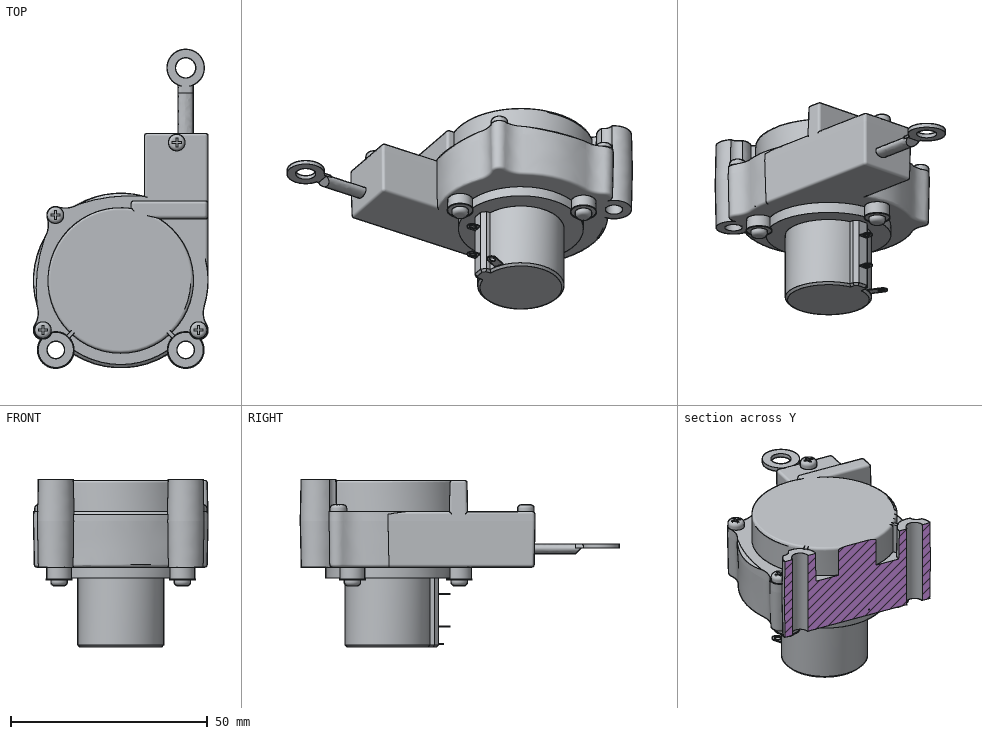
import math

import cadquery as cq

PARTING_Z = 11.7
CASE_TOP_Z = 14.15
DRUM_TOP_Z = 22.1
BOSS_TOP_Z = 22.35
DRAFT = 1.2
EDGE_ROUND = 0.7

CASE_R = 22.22
DRUM_R = 18.5
CORNER_EAR = (-16.6, 16.6, 2.2)
SIDE_EAR_X, SIDE_EAR_Y, SIDE_EAR_R = 19.77, -12.6, 2.45
BLEND_R = 6.0
LIP_INSET = 0.85
LIP_DROP = 0.78

BOSS_X, BOSS_Y, BOSS_R = 16.5, -17.65, 4.7
BOSS_HOLE_D = 4.38
RIB_WIDTH = 1.0

BOX_LEFT_X, BOX_BACK_Y = 6.0, 37.4
ARM_LEFT_X, ARM_FRONT_Y, ARM_BACK_Y = 2.6, 15.55, 20.3

HEAD_D = 4.22
COVER_HEAD_H = 1.75
HEAD_CLEARANCE = 0.2
HEAD_DOME = 0.95
RECESS_LENGTH, RECESS_WIDTH, RECESS_DEPTH = 2.3, 0.5, 0.8
BOX_SCREW = (14.24, 35.05)

FLANGE_R, FLANGE_H = 15.87, 2.74
SENSOR_R, SENSOR_BOTTOM_Z = 10.98, -20.32
SENSOR_ROUND = 0.6
CLAMP_CIRCLE_R = 18.1
CLAMP_ANGLES = (90, 210, 330)
CLAMP_D, CLAMP_H = 6.35, 3.0
WASHER_D, WASHER_H = 6.6, 0.2
CLAMP_HEAD_H, CLAMP_HEAD_DOME = 1.55, 1.0
PAD_WIDTH, PAD_Y, PAD_BEVEL = 5.0, 12.87, 1.1
TERMINAL_W, TERMINAL_T = 2.4, 0.25
TERMINAL_REACH = 15.8
TERMINAL_SLOT_L, TERMINAL_SLOT_W, TERMINAL_SLOT_INSET = 1.93, 1.2, 1.55
TERMINALS = ((90, -6.75), (90, -15.08), (117.9, -19.5))

EYE_X, EYE_Y = BOSS_X, 54.04
EYE_R, EYE_HOLE_D = 4.76, 5.08
EYE_TOP_Z, EYE_T = 5.92, 1.07
EYE_UNDER_Z = EYE_TOP_Z - EYE_T
BARREL_W, BARREL_BOTTOM_Z = 3.9, 3.38
BARREL_END_Y = 47.6
NECK_ROUND = 0.95


def polar(radius, angle):
    return (radius * math.cos(math.radians(angle)), radius * math.sin(math.radians(angle)))


def toward(start, target, distance):
    """Point at a distance from start on the ray to target."""
    span = math.dist(start, target)
    return tuple(s + (t - s) * distance / span for s, t in zip(start, target))


def blend(ear, side):
    """Hollow arc joining the round wall to an ear: wall point, middle point, ear point.

    side is +1 when the hollow lies counterclockwise of the ear, -1 when clockwise.
    """
    ear_centre = ear[:2]
    ear_reach = math.hypot(*ear_centre)
    wall_span = CASE_R + BLEND_R
    ear_span = ear[2] + BLEND_R
    cosine = (wall_span**2 + ear_reach**2 - ear_span**2) / (2 * wall_span * ear_reach)
    angle = math.degrees(math.atan2(ear[1], ear[0])) + side * math.degrees(math.acos(cosine))
    centre = polar(wall_span, angle)
    wall_point = polar(CASE_R, angle)
    ear_point = toward(centre, ear_centre, BLEND_R)
    chord_middle = tuple((a + b) / 2 for a, b in zip(wall_point, ear_point))
    return wall_point, toward(centre, chord_middle, BLEND_R), ear_point


def ear_tip(ear):
    """Point of an ear farthest from the Z axis."""
    return toward((0, 0), ear[:2], math.hypot(*ear[:2]) + ear[2])


def wall_angle(point):
    return math.degrees(math.atan2(point[1], point[0])) % 360


RIGHT_EAR = (SIDE_EAR_X, SIDE_EAR_Y, SIDE_EAR_R)
LEFT_EAR = (-SIDE_EAR_X, SIDE_EAR_Y, SIDE_EAR_R)
RIGHT_BLEND = blend(RIGHT_EAR, 1)
CORNER_BLEND_BACK = blend(CORNER_EAR, -1)
CORNER_BLEND_FRONT = blend(CORNER_EAR, 1)
LEFT_BLEND = blend(LEFT_EAR, -1)


def round_outline(plane):
    """Round wall with its three ears; the side ears run into the boss centres."""
    left_arc_middle = (wall_angle(CORNER_BLEND_FRONT[0]) + wall_angle(LEFT_BLEND[0])) / 2
    back_arc_middle = (wall_angle(RIGHT_BLEND[0]) - 360 + wall_angle(CORNER_BLEND_BACK[0])) / 2
    return (
        plane.moveTo(*RIGHT_BLEND[0])
        .threePointArc(polar(CASE_R, back_arc_middle), CORNER_BLEND_BACK[0])
        .threePointArc(CORNER_BLEND_BACK[1], CORNER_BLEND_BACK[2])
        .threePointArc(ear_tip(CORNER_EAR), CORNER_BLEND_FRONT[2])
        .threePointArc(CORNER_BLEND_FRONT[1], CORNER_BLEND_FRONT[0])
        .threePointArc(polar(CASE_R, left_arc_middle), LEFT_BLEND[0])
        .threePointArc(LEFT_BLEND[1], LEFT_BLEND[2])
        .threePointArc((-SIDE_EAR_X - SIDE_EAR_R, SIDE_EAR_Y), (-SIDE_EAR_X, SIDE_EAR_Y - SIDE_EAR_R))
        .lineTo(-BOSS_X, SIDE_EAR_Y - SIDE_EAR_R)
        .threePointArc((0, -CASE_R), (BOSS_X, SIDE_EAR_Y - SIDE_EAR_R))
        .lineTo(SIDE_EAR_X, SIDE_EAR_Y - SIDE_EAR_R)
        .threePointArc((SIDE_EAR_X + SIDE_EAR_R, SIDE_EAR_Y), RIGHT_BLEND[2])
        .threePointArc(RIGHT_BLEND[1], RIGHT_BLEND[0])
        .close()
    )


def level(height):
    return cq.Workplane("XY").workplane(offset=height)


def rectangle(plane, x_range, y_range):
    width = x_range[1] - x_range[0]
    depth = y_range[1] - y_range[0]
    return plane.center(sum(x_range) / 2, sum(y_range) / 2).rect(width, depth)


def rim_bevel(mid_angle, half_angle, lip_radius, lip_offset):
    """Ring-shaped cutter that bevels the upper rim over one arc of the round wall.

    The bevel's upper edge has lip_radius and is centred lip_offset behind the Z axis.
    """
    margin = 3.0
    slope = LIP_INSET / LIP_DROP
    profile = [
        (lip_radius, 0),
        (lip_radius + margin * slope, -margin),
        (lip_radius + margin * slope, margin),
        (lip_radius, margin),
    ]
    ring = cq.Workplane("XZ").polyline(profile).close().revolve(360, (0, 0, 0), (0, 1, 0))
    reach = 2 * CASE_R
    half_width = reach * math.tan(math.radians(half_angle))
    wedge = (
        level(-margin)
        .polyline([(0, 0), (reach, -half_width), (reach, half_width)])
        .close()
        .extrude(2 * margin)
    )
    cutter = ring.translate((-lip_offset, 0, 0)).intersect(wedge)
    return cutter.rotate((0, 0, 0), (0, 0, 1), mid_angle).translate((0, 0, CASE_TOP_Z))


def fading_bevel(start_angle, end_angle):
    """Rim bevel that is deepest in the middle of its arc and runs out at both ends."""
    half_angle = (end_angle - start_angle) / 2
    half_chord = CASE_R * math.sin(math.radians(half_angle))
    rise = CASE_R * (1 - math.cos(math.radians(half_angle))) - LIP_INSET
    lip_radius = (half_chord**2 + rise**2) / (2 * rise)
    lip_offset = lip_radius - (CASE_R - LIP_INSET)
    return rim_bevel((start_angle + end_angle) / 2, half_angle, lip_radius, lip_offset)


def make_round_case():
    lower = round_outline(level(PARTING_Z)).extrude(-PARTING_Z, taper=DRAFT)
    lower = lower.faces("<Z").edges().fillet(EDGE_ROUND)
    upper = round_outline(level(PARTING_Z)).extrude(CASE_TOP_Z - PARTING_Z, taper=DRAFT)
    box_meets_wall = math.degrees(math.acos(BOX_LEFT_X / CASE_R))
    upper = upper.cut(fading_bevel(box_meets_wall, wall_angle(CORNER_BLEND_BACK[0])))
    upper = upper.cut(fading_bevel(wall_angle(CORNER_BLEND_FRONT[0]), wall_angle(LEFT_BLEND[0])))
    boss_angle = math.degrees(math.atan2(BOSS_X, -BOSS_Y))
    upper = upper.cut(rim_bevel(270, boss_angle, CASE_R - LIP_INSET, 0))
    return lower.union(upper)


def make_cable_box():
    x_range, y_range = (BOX_LEFT_X, CASE_R), (0, BOX_BACK_Y)
    lower = rectangle(level(PARTING_Z), x_range, y_range).extrude(-PARTING_Z, taper=DRAFT)
    upper = rectangle(level(PARTING_Z), x_range, y_range).extrude(CASE_TOP_Z - PARTING_Z, taper=DRAFT)
    lower = lower.edges("not #Z").edges(">Y").fillet(EDGE_ROUND)
    upper = upper.edges("not #Z").edges(">Y").fillet(EDGE_ROUND)
    lower = lower.faces("<Z").edges("not <Y").fillet(EDGE_ROUND)
    upper = upper.faces(">Z").edges("not <Y").fillet(EDGE_ROUND)
    return lower.union(upper)


def make_drum_and_arm():
    height = DRUM_TOP_Z - PARTING_Z
    drum = level(PARTING_Z).circle(DRUM_R).extrude(height)
    arm = rectangle(level(PARTING_Z), (ARM_LEFT_X, CASE_R), (ARM_FRONT_Y, ARM_BACK_Y))
    arm = arm.extrude(height, taper=DRAFT).edges("not #Z").fillet(EDGE_ROUND)
    return drum.union(arm).faces(">Z").edges().fillet(EDGE_ROUND)


def make_head_relief(ear_x):
    """Cutter that clears a boss around the screw head on the side ear next to it."""
    plane = level(CASE_TOP_Z).center(ear_x, SIDE_EAR_Y)
    return plane.circle(HEAD_D / 2 + HEAD_CLEARANCE).extrude(BOSS_TOP_Z - CASE_TOP_Z)


def make_boss(x):
    lower = level(PARTING_Z).center(x, BOSS_Y).circle(BOSS_R).extrude(-PARTING_Z, taper=DRAFT)
    upper_height = BOSS_TOP_Z - PARTING_Z
    upper = level(PARTING_Z).center(x, BOSS_Y).circle(BOSS_R).extrude(upper_height, taper=DRAFT)
    reach = math.hypot(x, BOSS_Y)
    inner = DRUM_R - 2 * EDGE_ROUND
    rib = rectangle(level(PARTING_Z), (inner, reach), (-RIB_WIDTH / 2, RIB_WIDTH / 2))
    rib = rib.extrude(DRUM_TOP_Z - PARTING_Z)
    rib = rib.rotate((0, 0, 0), (0, 0, 1), math.degrees(math.atan2(BOSS_Y, x)))
    upper = upper.cut(make_head_relief(math.copysign(SIDE_EAR_X, x)))
    return lower.union(upper).union(rib)


def make_boss_holes():
    centres = [(-BOSS_X, BOSS_Y), (BOSS_X, BOSS_Y)]
    return cq.Workplane("XY").pushPoints(centres).circle(BOSS_HOLE_D / 2).extrude(BOSS_TOP_Z)


def make_cover_screw(x, y):
    sunk = EDGE_ROUND
    head = level(CASE_TOP_Z - sunk).circle(HEAD_D / 2).extrude(COVER_HEAD_H + sunk)
    head = head.faces(">Z").edges().fillet(HEAD_DOME)
    top = level(CASE_TOP_Z + COVER_HEAD_H)
    for length, width in ((RECESS_LENGTH, RECESS_WIDTH), (RECESS_WIDTH, RECESS_LENGTH)):
        head = head.cut(top.rect(length, width).extrude(-RECESS_DEPTH))
    return head.translate((x, y, 0))


def make_clamp(angle):
    """Clamp foot, washer and screw head holding the sensor flange."""
    foot = cq.Workplane("XY").circle(CLAMP_D / 2).extrude(-CLAMP_H)
    washer = level(-CLAMP_H).circle(WASHER_D / 2).extrude(-WASHER_H)
    head = level(-CLAMP_H - WASHER_H).circle(HEAD_D / 2).extrude(-CLAMP_HEAD_H)
    head = head.faces("<Z").edges().fillet(CLAMP_HEAD_DOME)
    clamp = foot.union(washer).union(head)
    return clamp.translate((*polar(CLAMP_CIRCLE_R, angle), 0))


def make_terminal(angle, height):
    """Flat solder lug pointing outward at the given angle."""
    plane = level(height - TERMINAL_T / 2)
    tip_centre = TERMINAL_REACH - TERMINAL_W / 2
    blade = rectangle(plane, (SENSOR_R / 2, tip_centre), (-TERMINAL_W / 2, TERMINAL_W / 2))
    blade = blade.extrude(TERMINAL_T)
    blade = blade.union(plane.center(tip_centre, 0).circle(TERMINAL_W / 2).extrude(TERMINAL_T))
    slot = plane.center(TERMINAL_REACH - TERMINAL_SLOT_INSET, 0).slot2D(TERMINAL_SLOT_L, TERMINAL_SLOT_W)
    blade = blade.cut(slot.extrude(TERMINAL_T))
    return blade.rotate((0, 0, 0), (0, 0, 1), angle)


def make_sensor():
    flange = cq.Workplane("XY").circle(FLANGE_R).extrude(-FLANGE_H)
    can = cq.Workplane("XY").circle(SENSOR_R).extrude(SENSOR_BOTTOM_Z)
    pad = rectangle(cq.Workplane("XY"), (-PAD_WIDTH / 2, PAD_WIDTH / 2), (0, PAD_Y))
    pad = pad.extrude(SENSOR_BOTTOM_Z).edges("|Z and >Y").chamfer(PAD_BEVEL)
    sensor = can.union(pad).faces("<Z").edges().chamfer(SENSOR_ROUND)
    sensor = sensor.union(flange)
    for angle in CLAMP_ANGLES:
        sensor = sensor.union(make_clamp(angle))
    for angle, height in TERMINALS:
        sensor = sensor.union(make_terminal(angle, height))
    return sensor


def make_cable_end():
    """Eye, rounded neck and oval crimp barrel along Y."""
    eye_plane = level(EYE_UNDER_Z).center(EYE_X, EYE_Y)
    eye = eye_plane.circle(EYE_R).extrude(EYE_T)
    neck_x = (EYE_X - BARREL_W / 2, EYE_X + BARREL_W / 2)
    neck = rectangle(level(EYE_UNDER_Z), neck_x, (BARREL_END_Y, EYE_Y)).extrude(EYE_T)
    neck = neck.faces(">Z").edges("|Y").fillet(NECK_ROUND)
    hole = eye_plane.circle(EYE_HOLE_D / 2).extrude(EYE_T)

    barrel_start_y = BOX_BACK_Y - 2 * EDGE_ROUND
    slope_run = EYE_UNDER_Z - BARREL_BOTTOM_Z
    side = [
        (barrel_start_y, BARREL_BOTTOM_Z),
        (BARREL_END_Y, BARREL_BOTTOM_Z),
        (BARREL_END_Y + slope_run, EYE_UNDER_Z),
        (BARREL_END_Y, EYE_UNDER_Z),
        (BARREL_END_Y, EYE_TOP_Z),
        (barrel_start_y, EYE_TOP_Z),
    ]
    barrel_h = EYE_TOP_Z - BARREL_BOTTOM_Z
    rod = cq.Workplane("XZ", origin=(EYE_X, 0, BARREL_BOTTOM_Z + barrel_h / 2))
    rod = rod.ellipse(BARREL_W / 2, barrel_h / 2).extrude(-EYE_Y)
    envelope = cq.Workplane("YZ", origin=(neck_x[0], 0, 0)).polyline(side).close().extrude(BARREL_W)
    return eye.union(neck).cut(hole).union(rod.intersect(envelope))


result = make_round_case().union(make_cable_box()).union(make_drum_and_arm())
for boss_x in (-BOSS_X, BOSS_X):
    result = result.union(make_boss(boss_x))
result = result.cut(make_boss_holes())
for screw_x, screw_y in (CORNER_EAR[:2], LEFT_EAR[:2], RIGHT_EAR[:2], BOX_SCREW):
    result = result.union(make_cover_screw(screw_x, screw_y))
result = result.union(make_sensor()).union(make_cable_end())